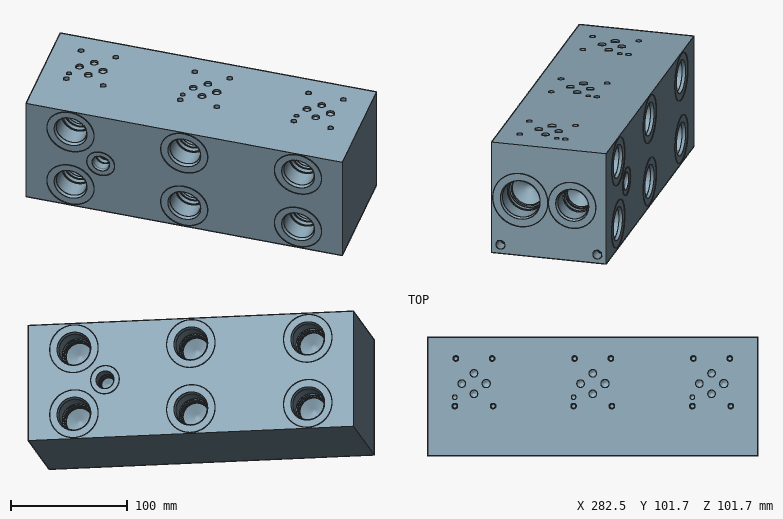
import cadquery as cq
import math

LENGTH = 282.5
WIDTH = 101.7
HEIGHT = 101.7

STATION_COUNT = 3
STATION_SPAN = 203.2
STATION_PITCH = STATION_SPAN / (STATION_COUNT - 1)
STATION_X = [(LENGTH - STATION_SPAN) / 2 + i * STATION_PITCH for i in range(STATION_COUNT)]

DRILL_POINT_ANGLE = 118.0

SPOTFACE_DEPTH = 0.5
TAP_DRILL_RUNOUT = 4.5
FLOW_BORE_LENGTH = 2.8

A_PORT_Z = 22.0
B_PORT_Z = 79.5

GAUGE_X = 66.7
GAUGE_Z = HEIGHT / 2

END_PORT_Z = HEIGHT / 2
TANK_Y = 76.3
PRESSURE_Y = 30.2

END_BOLT_INSET = 8.0
END_BOLT_THREAD_D = 8.0
END_BOLT_DRILL_D = 6.5
END_BOLT_THREAD_DEPTH = 13.5
END_BOLT_DEPTH = 17.0

PATTERN_Y = 62.0
PASSAGE_OFFSET_X = 10.5
PASSAGE_OFFSET_Y = 8.8
PASSAGE_D = 6.5
TANK_PASSAGE_D = 7.0
PASSAGE_DEPTH = 2.0
VALVE_BOLT_SPACING_Y = 40.7
FRONT_BOLT_Y = 42.7
FRONT_BOLT_SPACING_X = 32.8
REAR_BOLT_SPACING_X = 31.0
VALVE_BOLT_THREAD_D = 4.8
VALVE_BOLT_DRILL_D = 3.7
VALVE_BOLT_THREAD_DEPTH = 10.2
VALVE_BOLT_DEPTH = 12.7
PIN_D = 4.0
PIN_DEPTH = 4.2
PIN_FROM_BOLT_Y = 7.5


def revolved_cutter(steps):
    """Solid along +Z from its mouth at the origin: (diameter, depth) steps, then a drill point."""
    last_d, last_depth = steps[-1]
    tip = last_depth + last_d / 2 / math.tan(math.radians(DRILL_POINT_ANGLE / 2))
    points = [(0, 0)] + [(d / 2, depth) for d, depth in steps] + [(0, tip)]
    profile = cq.Workplane("XZ").polyline(points).close()
    return profile.revolve(360, (0, 0, 0), (0, 1, 0))


def port_cutter(spotface_d, mouth_d, thread_d, tap_drill_d, bore_d, seat_depth, thread_depth):
    """O-ring port: spotface, conical seat, threaded length, tap drill run-out and a smaller flow bore."""
    tap_drill_depth = thread_depth + TAP_DRILL_RUNOUT
    bore_depth = tap_drill_depth + FLOW_BORE_LENGTH
    return revolved_cutter([
        (spotface_d, 0),
        (spotface_d, SPOTFACE_DEPTH),
        (mouth_d, SPOTFACE_DEPTH),
        (thread_d, seat_depth),
        (thread_d, thread_depth),
        (tap_drill_d, thread_depth),
        (tap_drill_d, tap_drill_depth),
        (bore_d, tap_drill_depth),
        (bore_d, bore_depth),
    ])


def tapped_cutter(thread_d, drill_d, thread_depth, depth):
    """Tapped hole: thread at its outer diameter, then the tap drill."""
    return revolved_cutter([
        (thread_d, 0),
        (thread_d, thread_depth),
        (drill_d, thread_depth),
        (drill_d, depth),
    ])


def drilled_cutter(diameter, depth):
    """Plain blind hole with a drill point."""
    return revolved_cutter([(diameter, 0), (diameter, depth)])


def from_front(cutter, x, z):
    return cutter.rotate((0, 0, 0), (1, 0, 0), -90).translate((x, 0, z))


def from_end(cutter, y, z):
    return cutter.rotate((0, 0, 0), (0, 1, 0), 90).translate((0, y, z))


def from_top(cutter, x, y):
    return cutter.rotate((0, 0, 0), (1, 0, 0), 180).translate((x, y, HEIGHT))


large_port = port_cutter(
    spotface_d=42.0, mouth_d=29.5, thread_d=27.0, tap_drill_d=25.0, bore_d=23.0,
    seat_depth=3.5, thread_depth=19.8,
)
tank_port = port_cutter(
    spotface_d=49.0, mouth_d=35.3, thread_d=33.3, tap_drill_d=31.5, bore_d=28.5,
    seat_depth=3.5, thread_depth=19.2,
)
gauge_port = port_cutter(
    spotface_d=25.0, mouth_d=15.5, thread_d=14.5, tap_drill_d=13.0, bore_d=12.0,
    seat_depth=2.8, thread_depth=10.2,
)
end_bolt = tapped_cutter(END_BOLT_THREAD_D, END_BOLT_DRILL_D, END_BOLT_THREAD_DEPTH, END_BOLT_DEPTH)
valve_bolt = tapped_cutter(
    VALVE_BOLT_THREAD_D, VALVE_BOLT_DRILL_D, VALVE_BOLT_THREAD_DEPTH, VALVE_BOLT_DEPTH
)
passage = drilled_cutter(PASSAGE_D, PASSAGE_DEPTH)
tank_passage = drilled_cutter(TANK_PASSAGE_D, PASSAGE_DEPTH)
pin_hole = drilled_cutter(PIN_D, PIN_DEPTH)


def station_cutters(x):
    """All holes of one valve station: its two work ports and its mounting pattern."""
    rear_bolt_y = FRONT_BOLT_Y + VALVE_BOLT_SPACING_Y
    cutters = [
        from_front(large_port, x, A_PORT_Z),
        from_front(large_port, x, B_PORT_Z),
        from_top(passage, x - PASSAGE_OFFSET_X, PATTERN_Y),
        from_top(tank_passage, x + PASSAGE_OFFSET_X, PATTERN_Y),
        from_top(pin_hole, x - FRONT_BOLT_SPACING_X / 2, FRONT_BOLT_Y + PIN_FROM_BOLT_Y),
    ]
    for side in (-1, 1):
        cutters.append(from_top(passage, x, PATTERN_Y + side * PASSAGE_OFFSET_Y))
        cutters.append(from_top(valve_bolt, x + side * FRONT_BOLT_SPACING_X / 2, FRONT_BOLT_Y))
        cutters.append(from_top(valve_bolt, x + side * REAR_BOLT_SPACING_X / 2, rear_bolt_y))
    return cutters


cutters = [
    from_front(gauge_port, GAUGE_X, GAUGE_Z),
    from_end(tank_port, TANK_Y, END_PORT_Z),
    from_end(large_port, PRESSURE_Y, END_PORT_Z),
    from_end(end_bolt, END_BOLT_INSET, END_BOLT_INSET),
    from_end(end_bolt, WIDTH - END_BOLT_INSET, END_BOLT_INSET),
]
for station_x in STATION_X:
    cutters += station_cutters(station_x)

result = cq.Workplane("XY").box(LENGTH, WIDTH, HEIGHT, centered=False)
for cutter in cutters:
    result = result.cut(cutter)